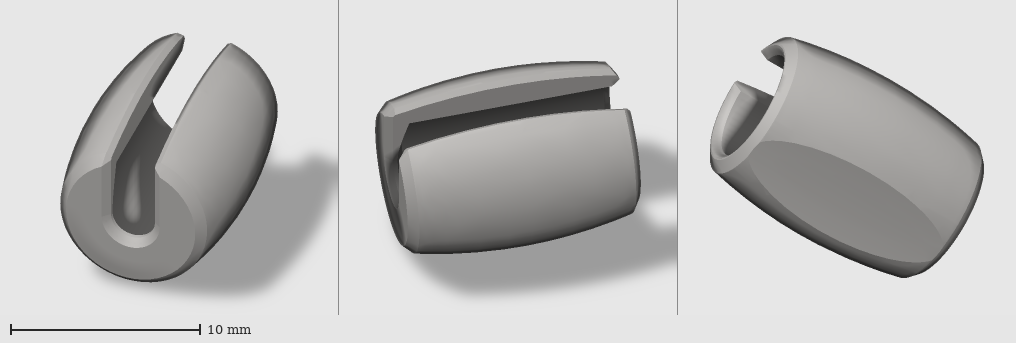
import cadquery as cq
import math

length = 12.7
front_y = -length / 2
back_y = length / 2
belly_radius = 4.75
rim_radius = 4.09
front_face_radius = 3.6
front_rim_depth = 0.51
back_face_radius = 3.49
back_rim_depth = 0.4

bore_radius = 3.0
bore_front_y = front_y + 1.27
cone_front_y = front_y + 0.64
bore_chamfer = 0.4

slot_radius = 1.22
slot_end_chamfer = 0.4
slot_edge_chamfer = 0.3
corner_wall_z = 3.45
corner_block = 1.52
slot_height = 2 * belly_radius

relief_depth_z = -4.05
relief_corner_x = 2.32
relief_corner_z = -4.17


def make_barrel():
    """Revolve the bulged outer profile about Y, including both end chamfers."""
    return (
        cq.Workplane("XY")
        .moveTo(0, front_y)
        .lineTo(front_face_radius, front_y)
        .lineTo(rim_radius, front_y + front_rim_depth)
        .threePointArc((belly_radius, 0), (rim_radius, back_y - back_rim_depth))
        .lineTo(back_face_radius, back_y)
        .lineTo(0, back_y)
        .close()
        .revolve(360, (0, 0, 0), (0, 1, 0))
    )


def make_bore():
    """Revolve the bore, its conical front end and its chamfered back mouth."""
    return (
        cq.Workplane("XY")
        .moveTo(0, cone_front_y)
        .lineTo(slot_radius, cone_front_y)
        .lineTo(bore_radius, bore_front_y)
        .lineTo(bore_radius, back_y - bore_chamfer)
        .lineTo(bore_radius + bore_chamfer, back_y)
        .lineTo(0, back_y)
        .close()
        .revolve(360, (0, 0, 0), (0, 1, 0))
    )


def slot_profile(half_width):
    """Round-bottomed U outline on the front face."""
    return (
        cq.Workplane("XZ", origin=(0, front_y, 0))
        .moveTo(-half_width, slot_height)
        .lineTo(-half_width, 0)
        .threePointArc((0, -half_width), (half_width, 0))
        .lineTo(half_width, slot_height)
        .close()
    )


def make_relief():
    """Large cylinder along Y whose top hollows the underside."""
    drop = relief_depth_z - relief_corner_z
    radius = (relief_corner_x**2 + drop**2) / (2 * drop)
    return (
        cq.Workplane("XZ", origin=(0, back_y, 0))
        .center(0, relief_depth_z - radius)
        .circle(radius)
        .extrude(length)
    )


def cut_slot(body):
    """Cut the slot, then break its long upper edges and its front mouth."""
    slotted = body.cut(slot_profile(slot_radius).extrude(-length))
    edge_height = math.sqrt(belly_radius**2 - slot_radius**2)
    for side in (-1, 1):
        edge_point = (side * slot_radius, 0, edge_height)
        long_edge = cq.selectors.NearestToPointSelector(edge_point)
        slotted = slotted.edges(long_edge).chamfer(slot_edge_chamfer)
    mouth_radius = slot_radius + slot_end_chamfer
    mouth = slot_profile(mouth_radius).extrude(-slot_end_chamfer, taper=45)
    return slotted.cut(mouth)


def make_corner_cutter(side):
    """Block that bevels the point where the rim, slot edge and mouth chamfers meet."""
    rim_x = slot_radius + slot_edge_chamfer
    mouth_x = slot_radius + slot_end_chamfer
    rim_z = math.sqrt(rim_radius**2 - rim_x**2)
    face_z = math.sqrt(front_face_radius**2 - mouth_x**2)
    rim_point = cq.Vector(side * rim_x, front_y + front_rim_depth, rim_z)
    wall_point = cq.Vector(side * slot_radius, front_y + slot_end_chamfer, corner_wall_z)
    face_point = cq.Vector(side * mouth_x, front_y, face_z)
    along_bevel = face_point - rim_point
    outward = (wall_point - rim_point).cross(along_bevel) * side
    bevel_plane = cq.Plane(origin=wall_point, xDir=along_bevel, normal=outward)
    return cq.Workplane(bevel_plane).rect(corner_block, corner_block).extrude(corner_block)


result = cut_slot(make_barrel()).cut(make_bore()).cut(make_relief())
for slot_side in (-1, 1):
    result = result.cut(make_corner_cutter(slot_side))